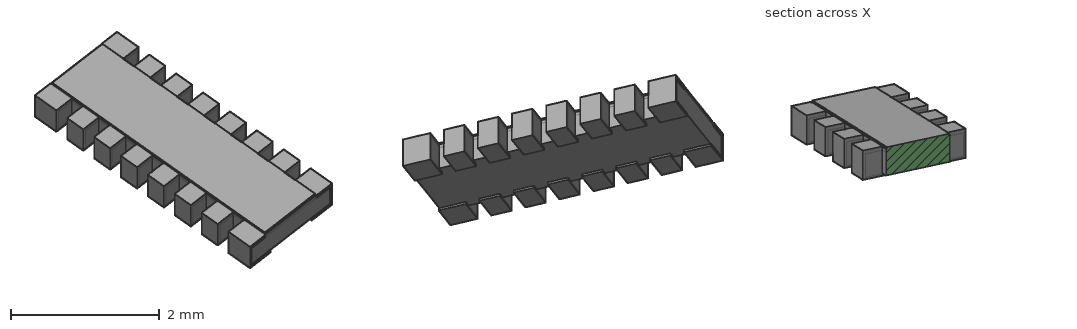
import cadquery as cq

length = 4.0
width = 1.6
height = 0.45

terminals_per_side = 8
pitch = 0.5
terminal_width = 0.3
end_terminal_width = 0.4
terminal_top = 0.425
bottom_pad_depth = 0.4
plating = 0.035

end_inset = 0.01
body_length = length - 2 * end_inset
body_width = 1.0
ceramic_top = 0.375
glass_inset = 0.01

body_side = body_width / 2
terminal_side = width / 2
ceramic_side = terminal_side - plating
pad_inner_side = terminal_side - bottom_pad_depth


def block(size_x, size_y, bottom, top):
    """Block centred on the Z axis, spanning bottom to top."""
    return cq.Workplane("XY").workplane(offset=bottom).rect(size_x, size_y).extrude(top - bottom)


def terminal_spans():
    """X start and end of every terminal along one long side."""
    end_start = length / 2 - end_terminal_width
    spans = [(-length / 2, -end_start), (end_start, length / 2)]
    inner_count = terminals_per_side - 2
    for index in range(inner_count):
        center = (index - (inner_count - 1) / 2) * pitch
        spans.append((center - terminal_width / 2, center + terminal_width / 2))
    return spans


def make_ceramic():
    """Core between the terminal rows, with a tooth running across into each terminal pair."""
    ceramic = block(body_length, body_width, plating, ceramic_top)
    for start, end in terminal_spans():
        tooth_start = max(start, -body_length / 2)
        tooth_end = min(end, body_length / 2)
        tooth = block(tooth_end - tooth_start, 2 * ceramic_side, plating, ceramic_top)
        ceramic = ceramic.union(tooth.translate(((tooth_start + tooth_end) / 2, 0, 0)))
    return ceramic


def make_cover():
    """Coating layer level with the terminal tops, topped by a slightly smaller glass layer."""
    coating = block(body_length, body_width, ceramic_top, terminal_top)
    glass = block(
        body_length - 2 * glass_inset,
        body_width - 2 * glass_inset,
        terminal_top,
        height,
    )
    return coating.union(glass)


def make_terminal(start, end):
    """C-shaped plating on the +Y side: over the tooth, down its end and folded underneath."""
    profile = [
        (body_side, terminal_top),
        (terminal_side, terminal_top),
        (terminal_side, 0),
        (pad_inner_side, 0),
        (pad_inner_side, plating),
        (ceramic_side, plating),
        (ceramic_side, ceramic_top),
        (body_side, ceramic_top),
    ]
    plane = cq.Workplane("YZ").workplane(offset=start)
    return plane.polyline(profile).close().extrude(end - start)


result = make_ceramic().union(make_cover(), clean=False)
for start, end in terminal_spans():
    terminal = make_terminal(start, end)
    result = result.union(terminal, clean=False)
    result = result.union(terminal.mirror("XZ"), clean=False)